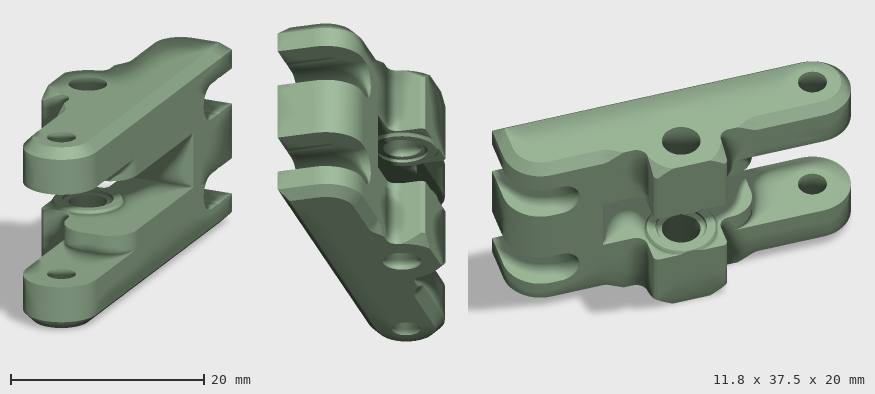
import cadquery as cq
import math

ARM_WIDTH = 8.0
HEIGHT = 20.0
BACK_Y = 18.0
FRONT_Y = -19.5
CHAMFER = 1.0

BOSS_REACH = 3.75
BOSS_WIDTH = 8.0
BOSS_CORNER_RADIUS = 0.5
BOSS_ROOT_RADIUS = 1.2
BOSS_CONE_RADIUS = 5.15

PIVOT_OFFSET = 3.6
PIVOT_DIAMETER = 4.0
TIP_HOLE_DIAMETER = 3.0

RUNOUT_START_Y = 8.4
RUNOUT_RADIUS = 1.0
RUNOUT_ANGLE = math.radians(32)

GAP_HEIGHT = 6.05
BRIDGE_LENGTH = 9.55
PAD_LENGTH = 26.5
PAD_CORNER_RADIUS = 3.0
TIP_THICKNESS = 4.88

RING_RADIUS = 3.8
RING_TOP_RADIUS = 3.55
RING_BORE_RADIUS = 2.65
RING_HEIGHT = 0.35

SLOT_DEPTH = 7.0
SLOT_HEIGHT = 3.9
SOCKET_DIAMETER = 4.0
SOCKET_DEPTH = 5.0
SOCKET_SETBACK = 3.35

half_width = ARM_WIDTH / 2
boss_x = -half_width - BOSS_REACH
pivot_x = boss_x + PIVOT_OFFSET
tip_y = FRONT_Y + half_width
slot_mid_z = (GAP_HEIGHT + SLOT_HEIGHT) / 2
pad_end_y = BACK_Y - PAD_LENGTH


def prism(outline, height):
    """Extrude a closed XY outline symmetrically about mid-height."""
    return outline.extrude(height / 2, both=True)


def cylinder(x, y, radius, height):
    return prism(cq.Workplane("XY").center(x, y).circle(radius), height)


def box(x_range, y_range, height):
    (x0, x1), (y0, y1) = x_range, y_range
    outline = cq.Workplane("XY").moveTo(x0, y0).lineTo(x1, y0).lineTo(x1, y1).lineTo(x0, y1).close()
    return prism(outline, height)


def vertical_edges(solid, points):
    """Select the vertical edges that pass through the given XY points."""
    picked = solid.edges(cq.selectors.NearestToPointSelector((*points[0], 0)))
    for x, y in points[1:]:
        picked = picked.add(solid.edges(cq.selectors.NearestToPointSelector((x, y, 0))))
    return picked


def start_around_tip():
    """Begin the arm outline: down the straight side and around the rounded tip."""
    return (
        cq.Workplane("XY")
        .moveTo(half_width, BACK_Y)
        .lineTo(half_width, tip_y)
        .threePointArc((0, FRONT_Y), (-half_width, tip_y))
    )


def close_around_back(outline):
    """Finish the arm outline: up the boss side and around the rounded back corner."""
    return (
        outline.lineTo(-half_width, BACK_Y - half_width)
        .radiusArc((0, BACK_Y), half_width)
        .close()
    )


def body_blank():
    """Full-height arm with its rounded tip and corner and the pivot boss."""
    arm = prism(close_around_back(start_around_tip()), HEIGHT)
    boss = box((boss_x, 0), (-BOSS_WIDTH / 2, BOSS_WIDTH / 2), HEIGHT)
    blank = arm.union(boss)
    corners = [(boss_x, side * BOSS_WIDTH / 2) for side in (-1, 1)]
    roots = [(-half_width, side * BOSS_WIDTH / 2) for side in (-1, 1)]
    blank = vertical_edges(blank, corners).fillet(BOSS_CORNER_RADIUS)
    return vertical_edges(blank, roots).fillet(BOSS_ROOT_RADIUS)


def chamfer_envelope():
    """Chamfered solid that trims the outer edges.

    The arm's chamfer swings out along a slanted run-out on each side of the
    boss, and a cone about the pivot trims the corners of the boss.
    """
    arc_x = -half_width - RUNOUT_RADIUS
    half_turn = RUNOUT_ANGLE / 2
    mid_x = arc_x + RUNOUT_RADIUS * math.cos(half_turn)
    mid_y = RUNOUT_START_Y - RUNOUT_RADIUS * math.sin(half_turn)
    end_x = arc_x + RUNOUT_RADIUS * math.cos(RUNOUT_ANGLE)
    end_y = RUNOUT_START_Y - RUNOUT_RADIUS * math.sin(RUNOUT_ANGLE)
    apex_x = end_x - end_y * math.tan(RUNOUT_ANGLE)
    outline = (
        start_around_tip()
        .lineTo(-half_width, -RUNOUT_START_Y)
        .threePointArc((mid_x, -mid_y), (end_x, -end_y))
        .lineTo(apex_x, 0)
        .lineTo(end_x, end_y)
        .threePointArc((mid_x, mid_y), (-half_width, RUNOUT_START_Y))
    )
    arm = prism(close_around_back(outline), HEIGHT)
    cone = cylinder(pivot_x, 0, BOSS_CONE_RADIUS, HEIGHT)
    return arm.faces("|Z").chamfer(CHAMFER).union(cone.faces("|Z").chamfer(CHAMFER))


def arm_gap():
    """Space between the arms, wider beyond the rounded pads."""
    x_range = (boss_x, half_width)
    gap = box(x_range, (FRONT_Y, BACK_Y - BRIDGE_LENGTH), GAP_HEIGHT)
    tip_gap_height = HEIGHT - 2 * TIP_THICKNESS
    pad = box((-half_width, half_width), (pad_end_y, 0), tip_gap_height)
    pad = pad.edges("|Z and <Y").fillet(PAD_CORNER_RADIUS)
    tip_gap = box(x_range, (FRONT_Y, pad_end_y + PAD_CORNER_RADIUS), tip_gap_height).cut(pad)
    return gap.union(tip_gap)


def pivot_ring():
    """Raised ring with a sloped rim on the lower arm's inner face."""
    ring = (
        cq.Workplane("XZ")
        .moveTo(RING_BORE_RADIUS, 0)
        .lineTo(RING_RADIUS, 0)
        .lineTo(RING_TOP_RADIUS, RING_HEIGHT)
        .lineTo(RING_BORE_RADIUS, RING_HEIGHT)
        .close()
        .revolve(360, (0, 0), (0, 1))
        .translate((pivot_x, 0, -GAP_HEIGHT / 2))
    )
    return ring.intersect(box((boss_x, half_width), (-BOSS_WIDTH, BOSS_WIDTH), HEIGHT))


def back_slot():
    """Round-bottomed slot across the bridge, with its lower side level with the top of the gap."""
    radius = SLOT_HEIGHT / 2
    round_y = BACK_Y - SLOT_DEPTH + radius
    low_z = slot_mid_z - radius
    high_z = slot_mid_z + radius
    return (
        cq.Workplane("YZ")
        .moveTo(BACK_Y, low_z)
        .lineTo(round_y, low_z)
        .threePointArc((round_y - radius, slot_mid_z), (round_y, high_z))
        .lineTo(BACK_Y, high_z)
        .close()
        .extrude(half_width, both=True)
    )


def slot_socket():
    """Blind round socket bored along X from the +X side, barely wider than the slot it crosses."""
    return (
        cq.Workplane("YZ", origin=(half_width, 0, 0))
        .center(BACK_Y - SOCKET_SETBACK, slot_mid_z)
        .circle(SOCKET_DIAMETER / 2)
        .extrude(-SOCKET_DEPTH)
    )


result = body_blank().intersect(chamfer_envelope()).cut(arm_gap())

ring = pivot_ring()
slot = back_slot().union(slot_socket())
result = result.union(ring).union(ring.mirror("XY"))
result = result.cut(slot).cut(slot.mirror("XY"))

result = result.cut(cylinder(pivot_x, 0, PIVOT_DIAMETER / 2, HEIGHT))
result = result.cut(cylinder(0, tip_y, TIP_HOLE_DIAMETER / 2, HEIGHT))